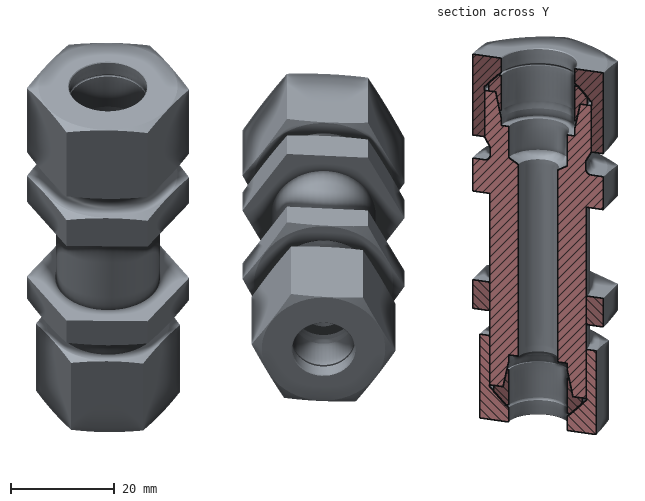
import cadquery as cq
import math


total_length = 75.5
flange_top = 53.9
flange_height = 6.95
lock_nut_top = 28.6
lock_nut_height = 6.05
lock_nut_mouth = 20.4

large_hex = 27.0
small_hex = 24.0
hex_chamfer_angle = 15.0
face_circle_ratio = 0.99

large_end = dict(hex=large_hex, nut_length=16.9, tube=15.0, thread=22.0, ring=20.4, mouth=17.3)
small_end = dict(hex=small_hex, nut_length=17.5, tube=12.0, thread=20.0, ring=18.35, mouth=14.3)

rim_chamfer = 0.15
seat_depth = 3.0
ring_depth = 3.55
body_end_depth = 7.2
tube_stop_depth = 14.0
ring_nose_length = 3.8
sealing_half_angle = 12.0

shank_diameter = small_end["thread"]
neck_diameter = 19.7
neck_fillet = 1.1
runout_angle = 30.0
neck_length = 1.2
large_bore = 12.0
small_bore = 8.0
bore_cone_end = flange_top
bore_cone_angle = 60.0


def sine(angle):
    return math.sin(math.radians(angle))


def cosine(angle):
    return math.cos(math.radians(angle))


def tangent(angle):
    return math.tan(math.radians(angle))


def revolve_outline(points):
    """Turn a closed outline of (radius, z) points around the Z axis."""
    return cq.Workplane("XZ").polyline(points).close().revolve(360, (0, 0), (0, 1))


def hexagon(across_flats, bottom, height, chamfer_top=False, chamfer_bottom=False):
    """Hexagonal prism with flats facing +X and -X and conically chamfered ends."""
    corner_radius = across_flats / 2 / cosine(30)
    face_radius = across_flats / 2 * face_circle_ratio
    drop = (corner_radius - face_radius) * tangent(hex_chamfer_angle)
    top = bottom + height
    prism = (
        cq.Workplane("XY", origin=(0, 0, bottom))
        .polygon(6, 2 * corner_radius)
        .extrude(height)
        .rotate((0, 0, 0), (0, 0, 1), 30)
    )
    outline = [(0, bottom)]
    if chamfer_bottom:
        outline += [(face_radius, bottom), (corner_radius, bottom + drop)]
    else:
        outline += [(corner_radius, bottom)]
    if chamfer_top:
        outline += [(corner_radius, top - drop), (face_radius, top)]
    else:
        outline += [(corner_radius, top)]
    outline += [(0, top)]
    return prism.intersect(revolve_outline(outline))


def at_top(part):
    """Move a part modelled below z = 0 to the upper end of the coupling."""
    return part.translate((0, 0, total_length))


def at_bottom(part):
    """Turn a part modelled below z = 0 over, to the lower end of the coupling."""
    return part.rotate((0, 0, 0), (1, 0, 0), 180)


def make_union_nut(end):
    """Union nut with its end face at z = 0: tube hole, 45 degree seat and thread bore."""
    length = end["nut_length"]
    hole_radius = end["tube"] / 2
    thread_radius = end["thread"] / 2
    seat_length = thread_radius - hole_radius
    cavity = revolve_outline([
        (0, 0),
        (hole_radius + rim_chamfer, 0),
        (hole_radius, -rim_chamfer),
        (hole_radius, -seat_depth),
        (thread_radius, -seat_depth - seat_length),
        (thread_radius, -length),
        (0, -length),
    ])
    return hexagon(end["hex"], -length, length, chamfer_top=True, chamfer_bottom=True).cut(cavity)


def make_cutting_ring(end):
    """Cutting ring between the nut's seat and the sealing cone in the body's end."""
    hole_radius = end["tube"] / 2
    ring_radius = end["ring"] / 2
    mouth_radius = end["mouth"] / 2
    nose_radius = mouth_radius - ring_nose_length * tangent(sealing_half_angle)
    return revolve_outline([
        (hole_radius, -ring_depth),
        (hole_radius + ring_depth - seat_depth, -ring_depth),
        (ring_radius, -seat_depth - (ring_radius - hole_radius)),
        (ring_radius, -body_end_depth),
        (mouth_radius, -body_end_depth),
        (nose_radius, -body_end_depth - ring_nose_length),
        (hole_radius, -body_end_depth - ring_nose_length),
    ])


def tube_socket(end):
    """Sealing cone and tube hole in the body's end."""
    hole_radius = end["tube"] / 2
    mouth_radius = end["mouth"] / 2
    cone_length = (mouth_radius - hole_radius) / tangent(sealing_half_angle)
    return revolve_outline([
        (0, -body_end_depth),
        (mouth_radius, -body_end_depth),
        (hole_radius, -body_end_depth - cone_length),
        (hole_radius, -tube_stop_depth),
        (0, -tube_stop_depth),
    ])


def body_shank():
    """Threaded shank with the relieved neck and the larger thread above the flange."""
    neck_radius = neck_diameter / 2
    thread_radius = large_end["thread"] / 2
    shank_radius = shank_diameter / 2
    shank_bottom = body_end_depth
    body_top = total_length - body_end_depth
    neck_bottom = flange_top + neck_fillet
    neck_top = neck_bottom + neck_length

    lower_mid = (
        neck_radius + neck_fillet * (1 - cosine(45)),
        neck_bottom - neck_fillet * sine(45),
    )
    upper_mid = (
        neck_radius + neck_fillet * (1 - cosine(runout_angle / 2)),
        neck_top + neck_fillet * sine(runout_angle / 2),
    )
    runout_radius = neck_radius + neck_fillet * (1 - cosine(runout_angle))
    runout_bottom = neck_top + neck_fillet * sine(runout_angle)
    runout_top = runout_bottom + (thread_radius - runout_radius) / tangent(runout_angle)
    return (
        cq.Workplane("XZ")
        .moveTo(0, shank_bottom)
        .lineTo(shank_radius, shank_bottom)
        .lineTo(shank_radius, flange_top)
        .lineTo(neck_radius + neck_fillet, flange_top)
        .threePointArc(lower_mid, (neck_radius, neck_bottom))
        .lineTo(neck_radius, neck_top)
        .threePointArc(upper_mid, (runout_radius, runout_bottom))
        .lineTo(thread_radius, runout_top)
        .lineTo(thread_radius, body_top)
        .lineTo(0, body_top)
        .close()
        .revolve(360, (0, 0), (0, 1))
    )


def through_bore():
    """Bore from tube stop to tube stop, narrowing through a cone."""
    large_radius = large_bore / 2
    small_radius = small_bore / 2
    cone_top = bore_cone_end + (large_radius - small_radius) / tangent(bore_cone_angle)
    bore_bottom = tube_stop_depth
    bore_top = total_length - tube_stop_depth
    return revolve_outline([
        (0, bore_bottom),
        (small_radius, bore_bottom),
        (small_radius, bore_cone_end),
        (large_radius, cone_top),
        (large_radius, bore_top),
        (0, bore_top),
    ])


def make_body():
    """Body: shank, neck and large thread, hexagonal flange, bore and both tube sockets."""
    flange = hexagon(large_hex, flange_top - flange_height, flange_height, chamfer_top=True)
    solid = body_shank().union(flange)
    for cut in (through_bore(), at_top(tube_socket(large_end)), at_bottom(tube_socket(small_end))):
        solid = solid.cut(cut)
    return solid


def make_lock_nut():
    """Lock nut on the shank, with a 45 degree countersink at both ends of its hole."""
    bottom = lock_nut_top - lock_nut_height
    hole_radius = shank_diameter / 2
    mouth_radius = lock_nut_mouth / 2
    countersink = mouth_radius - hole_radius
    hole = revolve_outline([
        (0, bottom),
        (mouth_radius, bottom),
        (hole_radius, bottom + countersink),
        (hole_radius, lock_nut_top - countersink),
        (mouth_radius, lock_nut_top),
        (0, lock_nut_top),
    ])
    return hexagon(large_hex, bottom, lock_nut_height, chamfer_bottom=True).cut(hole)


body = make_body()
lock_nut = make_lock_nut()
union_nuts = []
cutting_rings = []
for tube_end, place in ((large_end, at_top), (small_end, at_bottom)):
    union_nuts.append(place(make_union_nut(tube_end)).val())
    cutting_rings.append(place(make_cutting_ring(tube_end)).val())

result = cq.Compound.makeCompound([body.val(), lock_nut.val(), *union_nuts, *cutting_rings])